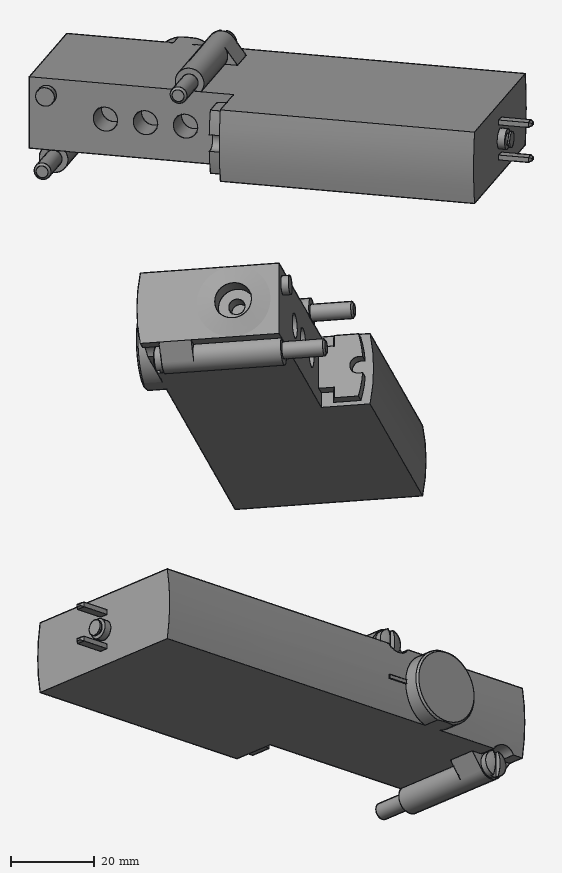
import cadquery as cq
import math


body_length = 114.4
body_height = 18.1
half_height = body_height / 2
step_x = 51.0
back_corner_y = 34.0
back_crown_y = 34.9
front_corner_y = -12.0
front_crown_y = -12.8

port_diameter = 6.0
port_pitch = 10.0
port_count = 3
port_depth = 7.4
middle_port_x = 29.0
peg_diameter = 4.7
peg_length = 1.9
peg_x = 4.5
peg_z = 4.9

cap_radius = 9.4
cap_end_y = 39.1
cap_chamfer = 0.5
line_start_x = 19.0
line_length = 24.7
line_width = 1.0
line_end_y = 35.3

axis_y = 11.1
cone_base_radius = half_height
cone_height = 0.9
bore_diameter = 9.0
bore_depth = 4.6
pilot_diameter = 4.0
pilot_depth = 3.7

overall_height = 29.5
sleeve_radius = 3.6
screw_z = overall_height / 2 - sleeve_radius
upper_screw_x = 40.0
lower_screw_x = 6.0
sleeve_start_y = 0.1
sleeve_end_y = 29.5
flange_length = 7.9
flange_half_width = 6.0
shank_diameter = 4.2
shank_tip_diameter = 3.0
shank_tip_length = 0.5
shank_end_y = -10.4
head_radius = 6.5 / 2
head_rim_height = 1.7
head_height = 2.5
head_slot_width = 1.5
head_slot_depth = 1.6
head_clearance_diameter = 7.5

plate_thickness = 3.1
plate_half_height = 8.0
plate_neck_half_height = 5.3
plate_corner_y = -9.7
plate_crown_y = -10.9
shoulder_root_y = -3.0
shoulder_tip_y = -3.8
plate_notch_diameter = 4.2
plate_notch_y = -9.7

button_steps = [(5.0, 1.9), (3.0, 0.6), (4.0, 0.5)]
pin_length = 8.1
pin_tip_length = 0.7
pin_thickness = 1.2
pin_width = 2.3
pin_tip_scale = 0.5
pin_z = 4.5


def box_between(x_range, y_range, z_range):
    """Box given by its lower and upper limits along each axis."""
    sizes = [high - low for low, high in (x_range, y_range, z_range)]
    corner = (x_range[0], y_range[0], z_range[0])
    return cq.Workplane("XY").box(*sizes, centered=False).translate(corner)


def x_cylinder(diameter, start_x, length):
    """Cylinder on the long centre axis, growing toward +X."""
    return cq.Workplane("YZ", origin=(start_x, axis_y, 0)).circle(diameter / 2).extrude(length)


def y_cylinder(diameter, x, z, start_y, end_y):
    """Cylinder parallel to Y between two Y positions."""
    plane = cq.Workplane("XZ", origin=(x, start_y, z))
    return plane.circle(diameter / 2).extrude(start_y - end_y)


def valve_body():
    """Full section with crowned front and back, cut back to the port face on the left."""
    body = (
        cq.Workplane("YZ")
        .moveTo(front_corner_y, -half_height)
        .lineTo(back_corner_y, -half_height)
        .threePointArc((back_crown_y, 0), (back_corner_y, half_height))
        .lineTo(front_corner_y, half_height)
        .threePointArc((front_crown_y, 0), (front_corner_y, -half_height))
        .close()
        .extrude(body_length)
    )
    return body.cut(box_between((0, step_x), (front_crown_y, 0), (-half_height, half_height)))


def cap():
    """Chamfered round cap, rooted inside the body and trimmed flush with its top and bottom."""
    disc = y_cylinder(2 * cap_radius, middle_port_x, 0, axis_y, cap_end_y)
    disc = disc.faces(">Y").chamfer(cap_chamfer)
    return disc.intersect(box_between((0, body_length), (axis_y, cap_end_y), (-half_height, half_height)))


def raised_line():
    """Narrow raised line along the crest of the back."""
    return box_between(
        (line_start_x, line_start_x + line_length),
        (back_corner_y, line_end_y),
        (-line_width / 2, line_width / 2),
    )


def end_cone():
    """Shallow truncated cone around the bore on the left end."""
    return (
        cq.Workplane("XY")
        .polyline([(0, 0), (0, cone_base_radius), (-cone_height, bore_diameter / 2), (-cone_height, 0)])
        .close()
        .revolve(360, (0, 0), (1, 0))
        .translate((0, axis_y, 0))
    )


def sleeve_with_flange():
    """Sleeve along Y at X = 0 above the body, with sides running down tangent to it."""
    sleeve = y_cylinder(2 * sleeve_radius, 0, screw_z, sleeve_start_y, sleeve_end_y)
    rise = screw_z - half_height
    to_axis = math.hypot(flange_half_width, rise)
    side_length = math.sqrt(to_axis**2 - sleeve_radius**2)
    side_angle = math.atan2(rise, flange_half_width) + math.asin(sleeve_radius / to_axis)
    tangent_x = flange_half_width - side_length * math.cos(side_angle)
    tangent_z = half_height + side_length * math.sin(side_angle)
    flange = (
        cq.Workplane("XZ", origin=(0, sleeve_end_y, 0))
        .polyline([
            (-flange_half_width, half_height),
            (flange_half_width, half_height),
            (tangent_x, tangent_z),
            (-tangent_x, tangent_z),
        ])
        .close()
        .extrude(flange_length)
    )
    return sleeve.union(flange)


def screw():
    """Slotted, domed head on the sleeve end and a shank with a tapered tip at X = 0."""
    head_end_y = sleeve_end_y + head_height
    rim_y = sleeve_end_y + head_rim_height
    dome_height = head_height - head_rim_height
    dome_radius = (head_radius**2 + dome_height**2) / (2 * dome_height)
    mid_radius = head_radius / 2
    mid_y = head_end_y - dome_radius + math.sqrt(dome_radius**2 - mid_radius**2)
    profile = (
        cq.Workplane("XY")
        .moveTo(0, shank_end_y)
        .lineTo(shank_tip_diameter / 2, shank_end_y)
        .lineTo(shank_diameter / 2, shank_end_y + shank_tip_length)
        .lineTo(shank_diameter / 2, sleeve_end_y)
        .lineTo(head_radius, sleeve_end_y)
        .lineTo(head_radius, rim_y)
        .threePointArc((mid_radius, mid_y), (0, head_end_y))
        .close()
    )
    turned = profile.revolve(360, (0, 0), (0, 1))
    slot = box_between(
        (-head_slot_width / 2, head_slot_width / 2),
        (head_end_y - head_slot_depth, head_end_y),
        (-head_radius, head_radius),
    )
    return turned.cut(slot).translate((0, 0, screw_z))


def plug_plate():
    """Plate with a crowned front, sloping shoulders behind and a round-ended front notch."""
    free_x = step_x - plate_thickness
    plate = (
        cq.Workplane("YZ", origin=(free_x, 0, 0))
        .moveTo(0, -plate_half_height)
        .lineTo(plate_corner_y, -plate_half_height)
        .threePointArc((plate_crown_y, 0), (plate_corner_y, plate_half_height))
        .lineTo(0, plate_half_height)
        .close()
        .extrude(plate_thickness)
    )
    shoulder_depth = plate_half_height - plate_neck_half_height
    for bottom_z in (plate_neck_half_height, -plate_half_height):
        corner_cut = (
            cq.Workplane("XY", origin=(0, 0, bottom_z))
            .polyline([(free_x, 0), (step_x, 0), (step_x, shoulder_root_y), (free_x, shoulder_tip_y)])
            .close()
            .extrude(shoulder_depth)
        )
        plate = plate.cut(corner_cut)
    notch_radius = plate_notch_diameter / 2
    notch_end = (
        cq.Workplane("YZ", origin=(free_x, plate_notch_y, 0))
        .circle(notch_radius)
        .extrude(plate_thickness)
    )
    notch_mouth = box_between((free_x, step_x), (plate_crown_y, plate_notch_y), (-notch_radius, notch_radius))
    return plate.cut(notch_end).cut(notch_mouth)


def contact_pin(z):
    """Flat contact pin with a tapered tip."""
    blade_length = pin_length - pin_tip_length
    return (
        cq.Workplane("YZ", origin=(body_length, axis_y, z))
        .rect(pin_width, pin_thickness)
        .extrude(blade_length)
        .faces(">X")
        .workplane()
        .rect(pin_width, pin_thickness)
        .workplane(offset=pin_tip_length)
        .rect(pin_width * pin_tip_scale, pin_thickness * pin_tip_scale)
        .loft(combine=True)
    )


result = valve_body().union(cap()).union(raised_line()).union(end_cone()).union(plug_plate())

for index in range(port_count):
    port_x = middle_port_x + (index - (port_count - 1) / 2) * port_pitch
    result = result.cut(y_cylinder(port_diameter, port_x, 0, 0, port_depth))
result = result.union(y_cylinder(peg_diameter, peg_x, peg_z, -peg_length, 0))

result = result.cut(x_cylinder(bore_diameter, -cone_height, bore_depth))
result = result.cut(x_cylinder(pilot_diameter, bore_depth - cone_height, pilot_depth))

for screw_x, below in ((upper_screw_x, False), (lower_screw_x, True)):
    clearance = y_cylinder(head_clearance_diameter, 0, screw_z, sleeve_end_y, cap_end_y)
    mounting = sleeve_with_flange().union(screw())
    if below:
        clearance = clearance.mirror("XY")
        mounting = mounting.mirror("XY")
    result = result.cut(clearance.translate((screw_x, 0, 0)))
    result = result.union(mounting.translate((screw_x, 0, 0)))

button_x = body_length
for diameter, length in button_steps:
    result = result.union(x_cylinder(diameter, button_x, length))
    button_x += length
for z in (-pin_z, pin_z):
    result = result.union(contact_pin(z))